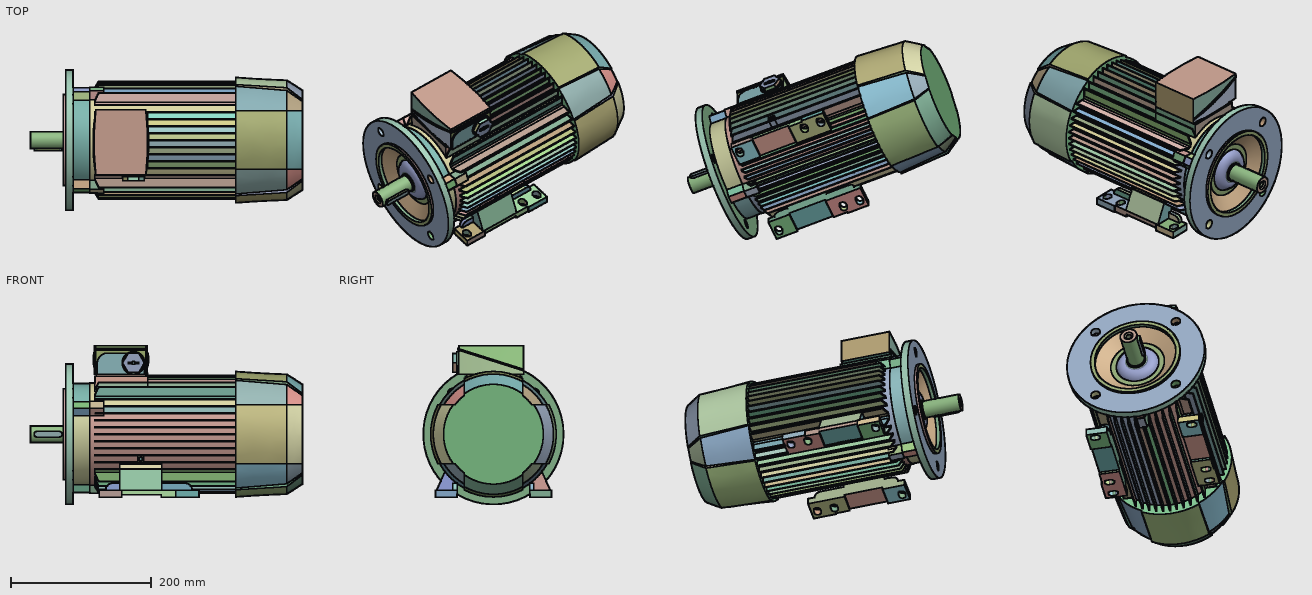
import cadquery as cq
import math


SHAFT_DIA = 24.0
SHAFT_LENGTH = 50.0
KEY_WIDTH = 8.0
KEY_LENGTH = 40.0
KEY_TIP_RADIUS = 15.0
KEY_END_GAP = 5.0
CENTRE_HOLE_DIA = 8.0
CENTRE_SINK_DIA = 12.6
CENTRE_HOLE_DEPTH = 20.0

FLANGE_DIA = 200.0
FLANGE_BACK = 10.5
SPIGOT_DIA = 130.0
SPIGOT_HEIGHT = 3.5
BOLT_CIRCLE_DIA = 165.0
BOLT_HOLE_DIA = 13.0
BOLT_COUNT = 4
DISH_MOUTH_RADIUS = 59.0
DISH_MOUTH_X = 2.0
DISH_FLOOR_RADIUS = 39.0
DISH_FLOOR_X = 14.0
HUB_RADIUS = 31.0
HUB_TIP_RADIUS = 16.0
HUB_TIP_X = 5.0
SEAL_RADIUS = 13.5
SEAL_HEIGHT = 2.0

SHIELD_RADIUS = 72.6
SHIELD_SPLIT_X = 34.5
LUG_COUNT = 3
LUG_TIP_RADIUS = 84.0
LUG_FRONT_TIP_RADIUS = 83.0
LUG_ROOT_RADIUS = 64.0
LUG_TIP_WIDTH = 11.0
LUG_ROOT_WIDTH = 30.0
LUG_BACK = 54.5

FRAME_FRONT = 41.5
CORE_RADIUS = 73.2
FIN_RADIUS = 83.8
FIN_PITCH = 10.0
FIN_THICKNESS = 1.4
FINS_PER_SIDE = 5
FIN_BEVEL_LENGTH = 5.5
FIN_BEVEL_RADIUS = 75.0

COVER_FRONT = 242.0
COVER_KNEE = 314.5
COVER_BACK = 337.0
RAISED_RADII = (89.4, 85.5, 71.0)
RECESSED_RADII = (87.2, 82.0, 69.0)
RAISED_WIDTH = 83.5

FOOT_BOTTOM = -90.0
FOOT_TOP = -79.5
FOOT_FRONT = 47.5
FOOT_BACK = 190.0
FOOT_INNER = 51.7
FOOT_FRONT_OUTER = 81.8
FOOT_MIDDLE_OUTER = 81.0
FOOT_BACK_OUTER = 82.7
FOOT_STEP_X = 157.0
FOOT_RELIEF_START = 80.0
FOOT_RELIEF_END = 136.0
FOOT_RELIEF_HEIGHT = 3.7
FOOT_HOLE_XS = (56.0, 156.0, 181.0)
FOOT_HOLE_Y = 70.0
FOOT_SLOT_WIDTH = 10.0
FOOT_SLOT_LENGTH = 14.0
WEDGE_START = 76.8
WEDGE_END = 137.0
WEDGE_TOP = -42.7
WEDGE_TOP_OUTER = 64.0
RIB_START = 57.0
RIB_END = 180.0
RIB_TOP = -70.0
RIB_THICKNESS = 6.0
RIB_CORNER_RADIUS = 9.0

BOX_FRONT = 43.0
BOX_BACK = 114.0
BOX_BOW = 2.5
BOX_LEFT = 43.0
BOX_RIGHT = -49.2
BOX_BOTTOM = 85.0
BOX_TOP = 126.0
PEDESTAL_FRONT = 41.5
PEDESTAL_BACK = 116.5
PEDESTAL_HALF_WIDTH = 40.0
PEDESTAL_TOP = 82.5
NECK_INSET = 2.0
RIM_OVERHANG = 1.7
RIM_THICKNESS = 2.0
RIM_RIGHT_Z = 121.5
RIM_SLOPE = 0.317
PANEL_FRONT = 45.0
PANEL_BACK = 112.0
PANEL_TOP = 115.5
PANEL_CORNER_RADIUS = 15.0
PANEL_HEIGHT = 1.8

PLUG_X = 96.5
PLUG_Z = 101.5
PLUG_COLLAR_DIA = 32.0
PLUG_COLLAR_Y = -52.3
PLUG_TIP_Y = -58.0
PLUG_SIDES = 6
PLUG_ACROSS_FLATS = 27.0
PLUG_SLOT_LENGTH = 15.0
PLUG_SLOT_WIDTH = 2.5
PLUG_SLOT_DEPTH = 1.5
PLUG_DIMPLE_DIA = 4.5

EARTH_X = 107.0
EARTH_Z = -35.3
EARTH_SIZE = 8.8
EARTH_FACE = 75.0
EARTH_HOLE_DIA = 5.0
EARTH_HOLE_DEPTH = 5.0


def box(x0, x1, y0, y1, z0, z1):
    """Box between two opposite corners."""
    return cq.Workplane("XY").box(x1 - x0, y1 - y0, z1 - z0, centered=False).translate((x0, y0, z0))


def turned(points):
    """Solid turned about the motor axis from (x, radius) points."""
    return cq.Workplane("XY").polyline(points).close().revolve(360, (0, 0, 0), (1, 0, 0))


def cylinder_x(radius, x0, x1):
    """Cylinder on the motor axis."""
    return cq.Workplane("YZ", origin=(x0, 0, 0)).circle(radius).extrude(x1 - x0)


def make_flange():
    """Flange, spigot and bearing shield with the dished front and the seal hub."""
    body = cylinder_x(FLANGE_DIA / 2, 0, FLANGE_BACK)
    body = body.union(cylinder_x(SPIGOT_DIA / 2, -SPIGOT_HEIGHT, FLANGE_BACK))
    body = body.union(cylinder_x(SHIELD_RADIUS, 0, SHIELD_SPLIT_X))
    body = body.union(cylinder_x(CORE_RADIUS, SHIELD_SPLIT_X, FRAME_FRONT))
    diagonal = math.sqrt(0.5)
    hub_bulge_x = DISH_FLOOR_X - (DISH_FLOOR_X - HUB_TIP_X) * diagonal
    hub_bulge_radius = HUB_TIP_RADIUS + (HUB_RADIUS - HUB_TIP_RADIUS) * diagonal
    dish = (
        cq.Workplane("XY")
        .moveTo(-SPIGOT_HEIGHT, 0)
        .lineTo(-SPIGOT_HEIGHT, DISH_MOUTH_RADIUS)
        .lineTo(DISH_MOUTH_X, DISH_MOUTH_RADIUS)
        .lineTo(DISH_FLOOR_X, DISH_FLOOR_RADIUS)
        .lineTo(DISH_FLOOR_X, HUB_RADIUS)
        .threePointArc((hub_bulge_x, hub_bulge_radius), (HUB_TIP_X, HUB_TIP_RADIUS))
        .lineTo(HUB_TIP_X, 0)
        .close()
        .revolve(360, (0, 0, 0), (1, 0, 0))
    )
    bolt_holes = (
        cq.Workplane("YZ")
        .polarArray(BOLT_CIRCLE_DIA / 2, 180 / BOLT_COUNT, 360, BOLT_COUNT)
        .circle(BOLT_HOLE_DIA / 2)
        .extrude(FLANGE_BACK)
    )
    seal = cylinder_x(SEAL_RADIUS, HUB_TIP_X - SEAL_HEIGHT, HUB_TIP_X)
    return body.cut(dish).cut(bolt_holes).union(seal)


def make_lug(tip_radius, x0, x1):
    """Tapered lug that hangs straight down from the motor axis."""
    outline = [
        (-LUG_ROOT_WIDTH / 2, -LUG_ROOT_RADIUS),
        (-LUG_TIP_WIDTH / 2, -tip_radius),
        (LUG_TIP_WIDTH / 2, -tip_radius),
        (LUG_ROOT_WIDTH / 2, -LUG_ROOT_RADIUS),
    ]
    return cq.Workplane("YZ", origin=(x0, 0, 0)).polyline(outline).close().extrude(x1 - x0)


def make_lugs():
    """Screw lugs spread evenly around the bearing shield."""
    lug = make_lug(LUG_FRONT_TIP_RADIUS, FLANGE_BACK, SHIELD_SPLIT_X)
    lug = lug.union(make_lug(LUG_TIP_RADIUS, SHIELD_SPLIT_X, LUG_BACK))
    lugs = lug
    for i in range(1, LUG_COUNT):
        lugs = lugs.union(lug.rotate((0, 0, 0), (1, 0, 0), i * 360 / LUG_COUNT))
    return lugs


def make_frame():
    """Round core with upright and flat cooling fins, bevelled in front and notched at the corners."""
    plates = None
    for i in range(-FINS_PER_SIDE, FINS_PER_SIDE + 1):
        near = i * FIN_PITCH - FIN_THICKNESS / 2
        far = near + FIN_THICKNESS
        upright = box(FRAME_FRONT, COVER_FRONT, near, far, -FIN_RADIUS, FIN_RADIUS)
        flat = box(FRAME_FRONT, COVER_FRONT, -FIN_RADIUS, FIN_RADIUS, near, far)
        plates = upright if plates is None else plates.union(upright)
        plates = plates.union(flat)
    envelope = turned([
        (FRAME_FRONT, 0),
        (FRAME_FRONT, FIN_BEVEL_RADIUS),
        (FRAME_FRONT + FIN_BEVEL_LENGTH, FIN_RADIUS),
        (COVER_FRONT, FIN_RADIUS),
        (COVER_FRONT, 0),
    ])
    frame = plates.intersect(envelope).union(cylinder_x(CORE_RADIUS, FRAME_FRONT, COVER_FRONT))
    notch_start = FINS_PER_SIDE * FIN_PITCH + FIN_THICKNESS / 2
    notch = box(FRAME_FRONT, COVER_FRONT, notch_start, FIN_RADIUS, notch_start, FIN_RADIUS)
    for angle in (0, 90, 180, 270):
        frame = frame.cut(notch.rotate((0, 0, 0), (1, 0, 0), angle))
    return frame


def make_cover_body(radii):
    """Fan cover shape with the given front, knee and back radii."""
    front, knee, back = radii
    return turned([
        (COVER_FRONT, 0),
        (COVER_FRONT, front),
        (COVER_KNEE, knee),
        (COVER_BACK, back),
        (COVER_BACK, 0),
    ])


def make_fan_cover():
    """Fan cover with raised top, bottom and side sectors."""
    half = RAISED_WIDTH / 2
    reach = FLANGE_DIA / 2
    sectors = box(COVER_FRONT, COVER_BACK, -half, half, -reach, reach)
    sectors = sectors.union(box(COVER_FRONT, COVER_BACK, -reach, reach, -half, half))
    return make_cover_body(RECESSED_RADII).union(make_cover_body(RAISED_RADII).intersect(sectors))


def make_shaft():
    """Shaft with its key and the centre hole in its end."""
    radius = SHAFT_DIA / 2
    shaft = cylinder_x(radius, -SHAFT_LENGTH, DISH_FLOOR_X)
    key_x = -KEY_END_GAP - KEY_LENGTH / 2
    key = (
        cq.Workplane("XZ")
        .center(key_x, 0)
        .slot2D(KEY_LENGTH, KEY_WIDTH)
        .extrude(KEY_TIP_RADIUS)
    )
    hole_radius = CENTRE_HOLE_DIA / 2
    sink_radius = CENTRE_SINK_DIA / 2
    sink_depth = sink_radius - hole_radius
    centre_hole = turned([
        (-SHAFT_LENGTH, 0),
        (-SHAFT_LENGTH, sink_radius),
        (-SHAFT_LENGTH + sink_depth, hole_radius),
        (-SHAFT_LENGTH + CENTRE_HOLE_DEPTH, hole_radius),
        (-SHAFT_LENGTH + CENTRE_HOLE_DEPTH, 0),
    ])
    return shaft.union(key).cut(centre_hole)


def make_foot():
    """Foot on the +Y side: slotted sole, sloped wedge up to the frame and a low inner rib."""
    front_pad = box(
        FOOT_FRONT, FOOT_RELIEF_START, FOOT_INNER, FOOT_FRONT_OUTER, FOOT_BOTTOM, FOOT_TOP
    )
    middle = box(FOOT_RELIEF_START, FOOT_STEP_X, FOOT_INNER, FOOT_MIDDLE_OUTER, FOOT_BOTTOM, FOOT_TOP)
    back_pad = box(FOOT_STEP_X, FOOT_BACK, FOOT_INNER, FOOT_BACK_OUTER, FOOT_BOTTOM, FOOT_TOP)
    foot = front_pad.union(middle).union(back_pad)
    relief_top = FOOT_BOTTOM + FOOT_RELIEF_HEIGHT
    foot = foot.cut(
        box(FOOT_RELIEF_START, FOOT_RELIEF_END, FOOT_INNER, FOOT_BACK_OUTER, FOOT_BOTTOM, relief_top)
    )
    slots = (
        cq.Workplane("XY", origin=(0, 0, FOOT_BOTTOM))
        .pushPoints([(x, FOOT_HOLE_Y) for x in FOOT_HOLE_XS])
        .slot2D(FOOT_SLOT_LENGTH, FOOT_SLOT_WIDTH, 90)
        .extrude(FOOT_TOP - FOOT_BOTTOM)
    )
    wedge = (
        cq.Workplane("YZ", origin=(WEDGE_START, 0, 0))
        .polyline([
            (FOOT_INNER, FOOT_TOP),
            (FOOT_MIDDLE_OUTER, FOOT_TOP),
            (WEDGE_TOP_OUTER, WEDGE_TOP),
            (FOOT_INNER, WEDGE_TOP),
        ])
        .close()
        .extrude(WEDGE_END - WEDGE_START)
    )
    rib = box(RIB_START, RIB_END, FOOT_INNER, FOOT_INNER + RIB_THICKNESS, FOOT_TOP, RIB_TOP)
    rib = rib.edges("|Y and >Z").fillet(RIB_CORNER_RADIUS)
    return foot.cut(slots).union(wedge).union(rib)


def box_outline(overhang, z):
    """Terminal box outline with bowed ends; an overhang widens the bows and the -Y side."""
    right = BOX_RIGHT - overhang
    middle = (BOX_LEFT + right) / 2
    bow = BOX_BOW + overhang
    return (
        cq.Workplane("XY", origin=(0, 0, z))
        .moveTo(BOX_FRONT, right)
        .lineTo(BOX_BACK, right)
        .threePointArc((BOX_BACK + bow, middle), (BOX_BACK, BOX_LEFT))
        .lineTo(BOX_FRONT, BOX_LEFT)
        .threePointArc((BOX_FRONT - bow, middle), (BOX_FRONT, right))
        .close()
    )


def make_terminal_box():
    """Terminal box on its pedestal, with a sloping lid rim and a raised panel on the -Y wall."""
    height = BOX_TOP - BOX_BOTTOM
    body = box_outline(0, BOX_BOTTOM).extrude(height)
    rim_left_z = RIM_RIGHT_Z - RIM_SLOPE * (BOX_LEFT - BOX_RIGHT)
    rim_end = BOX_RIGHT - RIM_OVERHANG
    rim_end_z = RIM_RIGHT_Z + RIM_SLOPE * RIM_OVERHANG
    slab = (
        cq.Workplane("YZ")
        .polyline([
            (rim_end, rim_end_z - RIM_THICKNESS),
            (rim_end, rim_end_z),
            (BOX_LEFT, rim_left_z),
            (BOX_LEFT, rim_left_z - RIM_THICKNESS),
        ])
        .close()
        .extrude(BOX_BACK + BOX_BOW + RIM_OVERHANG)
    )
    rim = box_outline(RIM_OVERHANG, BOX_BOTTOM).extrude(height).intersect(slab)
    panel = box(PANEL_FRONT, PANEL_BACK, BOX_RIGHT - PANEL_HEIGHT, BOX_RIGHT, BOX_BOTTOM, PANEL_TOP)
    panel = panel.edges("|Y and >Z").fillet(PANEL_CORNER_RADIUS)
    half = PEDESTAL_HALF_WIDTH
    pedestal = box(PEDESTAL_FRONT, PEDESTAL_BACK, -half, half, 0, PEDESTAL_TOP)
    neck = box(
        PEDESTAL_FRONT + NECK_INSET, PEDESTAL_BACK - NECK_INSET,
        -half + NECK_INSET, half - NECK_INSET, 0, BOX_BOTTOM,
    )
    return body.union(rim).union(panel).union(pedestal).union(neck)


def make_plug():
    """Hexagonal blanking plug with a round collar and a screwdriver slot."""
    wall = cq.Workplane("XZ", origin=(PLUG_X, BOX_RIGHT, PLUG_Z))
    tip = cq.Workplane("XZ", origin=(PLUG_X, PLUG_TIP_Y + PLUG_SLOT_DEPTH, PLUG_Z))
    collar = wall.circle(PLUG_COLLAR_DIA / 2).extrude(BOX_RIGHT - PLUG_COLLAR_Y)
    across_corners = PLUG_ACROSS_FLATS / math.cos(math.pi / PLUG_SIDES)
    head = wall.polygon(PLUG_SIDES, across_corners).extrude(BOX_RIGHT - PLUG_TIP_Y)
    slot = tip.rect(PLUG_SLOT_LENGTH, PLUG_SLOT_WIDTH).extrude(PLUG_SLOT_DEPTH)
    dimple = tip.circle(PLUG_DIMPLE_DIA / 2).extrude(PLUG_SLOT_DEPTH)
    return collar.union(head).cut(slot).cut(dimple)


def make_earth_terminal():
    """Square earth terminal with a round hole, set between two side fins."""
    centre = cq.Workplane("XZ", origin=(EARTH_X, 0, EARTH_Z))
    block = centre.rect(EARTH_SIZE, EARTH_SIZE).extrude(EARTH_FACE)
    hole = (
        centre.workplane(offset=EARTH_FACE - EARTH_HOLE_DEPTH)
        .circle(EARTH_HOLE_DIA / 2)
        .extrude(EARTH_HOLE_DEPTH)
    )
    return block.cut(hole)


foot = make_foot()
motor = make_flange()
for feature in (
    make_shaft(),
    make_frame(),
    make_lugs(),
    make_fan_cover(),
    foot,
    foot.mirror("XZ"),
    make_terminal_box(),
    make_plug(),
    make_earth_terminal(),
):
    motor = motor.union(feature)

result = motor